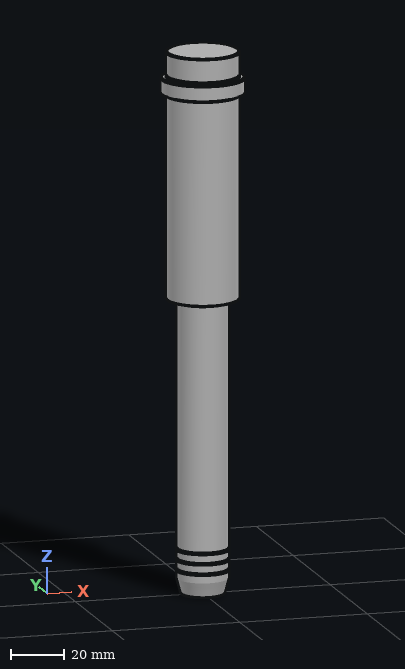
import cadquery as cq

total_length = 210.0

stem_radius = 10.0
taper_height = 6.0
tip_radius = 8.5
tip_chamfer = 0.4

vee_width = 1.0
vee_depth = 0.5

groove_count = 3
groove_pitch = 4.0
first_groove_height = 9.0

sleeve_radius = 14.0
sleeve_length = 96.0
end_chamfer = 0.5
sleeve_bottom = total_length - sleeve_length

neck_length = 1.0
neck_depth = 0.5

collar_radius = 16.0
collar_top = total_length - 10.0
collar_height = 6.0
collar_chamfer = 0.5


def cylinder(radius, bottom, height):
    """Solid cylinder on the Z axis starting at the given height."""
    return cq.Workplane("XY").workplane(offset=bottom).circle(radius).extrude(height)


def revolve_section(points):
    """Solid of revolution about Z from (radius, height) points."""
    return cq.Workplane("XZ").polyline(points).close().revolve(360, (0, 0, 0), (0, 1, 0))


def vee_cutter(radius, bottom):
    """Ring of triangular section that cuts one V groove into a cylinder of the given radius."""
    section = [
        (radius, bottom),
        (radius - vee_depth, bottom + vee_width / 2),
        (radius, bottom + vee_width),
    ]
    return revolve_section(section)


def make_stem():
    """Stem with a conical tip, ring grooves and a relief neck below the sleeve."""
    neck_radius = stem_radius - neck_depth
    neck_bottom = sleeve_bottom - neck_length
    profile = [
        (0, 0),
        (tip_radius - tip_chamfer, 0),
        (tip_radius, tip_chamfer),
        (stem_radius, taper_height),
        (stem_radius, neck_bottom),
        (neck_radius, neck_bottom),
        (neck_radius, sleeve_bottom),
        (0, sleeve_bottom),
    ]
    stem = revolve_section(profile)
    for index in range(groove_count):
        groove_bottom = first_groove_height + index * groove_pitch
        stem = stem.cut(vee_cutter(stem_radius, groove_bottom))
    return stem


def make_sleeve():
    """Sleeve with chamfered ends and a V relief against each face of the collar."""
    sleeve = cylinder(sleeve_radius, sleeve_bottom, sleeve_length)
    sleeve = sleeve.faces("<Z").edges().chamfer(end_chamfer)
    sleeve = sleeve.faces(">Z").edges().chamfer(end_chamfer)
    for relief_bottom in (collar_top, collar_top - collar_height - vee_width):
        sleeve = sleeve.cut(vee_cutter(sleeve_radius, relief_bottom))
    return sleeve


def make_collar():
    """Collar with a chamfered upper edge."""
    collar = cylinder(collar_radius, collar_top - collar_height, collar_height)
    return collar.faces(">Z").edges().chamfer(collar_chamfer)


result = make_stem().union(make_sleeve()).union(make_collar())